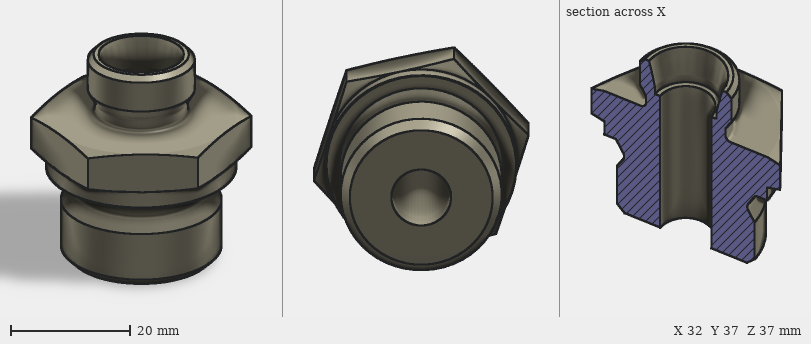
import cadquery as cq
import math

total_height = 37.0
hex_top = 26.0
hex_bottom = 18.98
collar_bottom = 16.02

across_flats = 32.0
across_corners = across_flats / math.cos(math.radians(30))
hex_chamfer_angle = math.radians(15)
collar_radius = across_flats / 2
collar_edge_chamfer = 0.1

stud_radius = 13.5
stud_chamfer = 1.5
groove_middle = 12.85
groove_radius = 12.1
groove_slope = math.radians(60)
groove_arc_radius = 1.5

tip_radius = 9.0
tip_chamfer = 1.0
tip_bottom = 30.65
neck_radius = 7.85
neck_slope = math.radians(60)
neck_fillet = 1.0

bore_radius = 5.0
seat_radius = 6.0
seat_depth = 7.0
mouth_radius = 7.15
mouth_half_angle = math.radians(12)


def make_lower_stud():
    """Chamfered stud with a groove: two slopes joined by a tangent arc."""
    turn = math.pi / 2 - groove_slope
    tangent_radius = groove_radius + groove_arc_radius * (1 - math.cos(turn))
    tangent_rise = groove_arc_radius * math.sin(turn)
    lower_tangent = (tangent_radius, groove_middle - tangent_rise)
    upper_tangent = (tangent_radius, groove_middle + tangent_rise)
    slope_rise = (stud_radius - tangent_radius) * math.tan(groove_slope)
    stud_top = groove_middle - tangent_rise - slope_rise
    collar_rise = collar_bottom - groove_middle - tangent_rise
    root_radius = tangent_radius + collar_rise / math.tan(groove_slope)
    return (
        cq.Workplane("XZ")
        .moveTo(0, 0)
        .lineTo(stud_radius - stud_chamfer, 0)
        .lineTo(stud_radius, stud_chamfer)
        .lineTo(stud_radius, stud_top)
        .lineTo(*lower_tangent)
        .threePointArc((groove_radius, groove_middle), upper_tangent)
        .lineTo(root_radius, collar_bottom)
        .lineTo(0, collar_bottom)
        .close()
        .revolve(360, (0, 0), (0, 1))
    )


def make_collar():
    """Round collar under the hexagon with a broken lower edge."""
    return (
        cq.Workplane("XY", origin=(0, 0, collar_bottom))
        .circle(collar_radius)
        .extrude(hex_bottom - collar_bottom)
        .faces("<Z")
        .chamfer(collar_edge_chamfer)
    )


def make_hexagon():
    """Hexagon with corners on Y, chamfered conically at both ends."""
    hexagon = (
        cq.Workplane("XY", origin=(0, 0, hex_bottom))
        .polygon(6, across_corners)
        .extrude(hex_top - hex_bottom)
        .rotate((0, 0, 0), (0, 0, 1), 30)
    )
    envelope_radius = across_corners / 2 + 0.37
    drop = (envelope_radius - across_flats / 2) * math.tan(hex_chamfer_angle)
    envelope = (
        cq.Workplane("XZ")
        .moveTo(0, hex_bottom)
        .lineTo(across_flats / 2, hex_bottom)
        .lineTo(envelope_radius, hex_bottom + drop)
        .lineTo(envelope_radius, hex_top - drop)
        .lineTo(across_flats / 2, hex_top)
        .lineTo(0, hex_top)
        .close()
        .revolve(360, (0, 0), (0, 1))
    )
    return hexagon.intersect(envelope)


def make_upper_stud():
    """Chamfered tip on a neck that flares into the hexagon."""
    turn = math.pi / 2 - neck_slope
    fillet_start = (
        tip_bottom
        - (tip_radius - neck_radius) * math.tan(neck_slope)
        - neck_fillet * math.tan(turn / 2)
    )
    fillet_middle = (
        neck_radius + neck_fillet * (1 - math.cos(turn / 2)),
        fillet_start + neck_fillet * math.sin(turn / 2),
    )
    fillet_end = (
        neck_radius + neck_fillet * (1 - math.cos(turn)),
        fillet_start + neck_fillet * math.sin(turn),
    )
    arc_offset = neck_fillet * (1 - math.sqrt(0.5))
    return (
        cq.Workplane("XZ")
        .moveTo(0, hex_top)
        .lineTo(neck_radius + neck_fillet, hex_top)
        .threePointArc(
            (neck_radius + arc_offset, hex_top + arc_offset),
            (neck_radius, hex_top + neck_fillet),
        )
        .lineTo(neck_radius, fillet_start)
        .threePointArc(fillet_middle, fillet_end)
        .lineTo(tip_radius, tip_bottom)
        .lineTo(tip_radius, total_height - tip_chamfer)
        .lineTo(tip_radius - tip_chamfer, total_height)
        .lineTo(0, total_height)
        .close()
        .revolve(360, (0, 0), (0, 1))
    )


def make_bore():
    """Through bore, cylindrical seat and tapered mouth as one cutter."""
    taper_depth = (mouth_radius - seat_radius) / math.tan(mouth_half_angle)
    return (
        cq.Workplane("XZ")
        .moveTo(0, 0)
        .lineTo(bore_radius, 0)
        .lineTo(bore_radius, total_height - seat_depth)
        .lineTo(seat_radius, total_height - seat_depth)
        .lineTo(seat_radius, total_height - taper_depth)
        .lineTo(mouth_radius, total_height)
        .lineTo(0, total_height)
        .close()
        .revolve(360, (0, 0), (0, 1))
    )


body = make_lower_stud().union(make_collar()).union(make_hexagon()).union(make_upper_stud())
result = body.cut(make_bore())